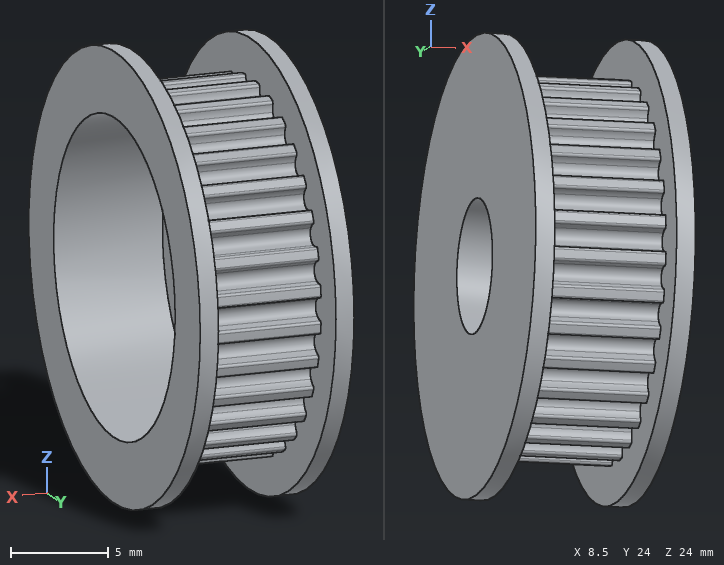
import cadquery as cq
import math

flange_diameter = 24.0
flange_thickness = 1.0
total_width = 8.5
bore_diameter = 7.0

bearing_seat_diameter = 17.0
bearing_seat_depth = 6.0

tooth_count = 32
tip_diameter = 19.87
rim_width = total_width - 2 * flange_thickness

mouth_half_width = 0.75
groove_depth = 0.77
tip_round_middle = (0.65, 0.038)
tip_round_end = (0.6, 0.13)
flank_middle = (0.55, 0.34)
flank_end = (0.45, 0.53)
mouth_overrun = 0.25

tip_radius = tip_diameter / 2
mouth_radius = math.sqrt(tip_radius**2 - mouth_half_width**2)


def disc(diameter, start, length):
    """Solid cylinder along X, beginning at X = start."""
    return cq.Workplane("YZ", origin=(start, 0, 0)).circle(diameter / 2).extrude(length)


def groove_cutter():
    """Cutter for the groove at the +Z side: tip rounds, bowed flanks and a round root."""

    def left(point):
        half_width, depth = point
        return (-half_width, mouth_radius - depth)

    def right(point):
        half_width, depth = point
        return (half_width, mouth_radius - depth)

    mouth = (mouth_half_width, 0)
    above_mouth = (mouth_half_width, -mouth_overrun)
    root = (0, groove_depth)
    return (
        cq.Workplane("YZ", origin=(flange_thickness, 0, 0))
        .moveTo(*left(above_mouth))
        .lineTo(*left(mouth))
        .threePointArc(left(tip_round_middle), left(tip_round_end))
        .threePointArc(left(flank_middle), left(flank_end))
        .threePointArc(right(root), right(flank_end))
        .threePointArc(right(flank_middle), right(tip_round_end))
        .threePointArc(right(tip_round_middle), right(mouth))
        .lineTo(*right(above_mouth))
        .close()
        .extrude(rim_width)
    )


def toothed_rim():
    """Rim between the flanges with evenly spaced belt grooves."""
    rim = disc(tip_diameter, flange_thickness, rim_width)
    cutter = groove_cutter()
    for index in range(tooth_count):
        angle = index * 360 / tooth_count
        rim = rim.cut(cutter.rotate((0, 0, 0), (1, 0, 0), angle))
    return rim


near_flange = disc(flange_diameter, 0, flange_thickness)
far_flange = disc(flange_diameter, total_width - flange_thickness, flange_thickness)
bore = disc(bore_diameter, 0, total_width)
bearing_seat = disc(bearing_seat_diameter, total_width - bearing_seat_depth, bearing_seat_depth)

result = toothed_rim().union(near_flange).union(far_flange).cut(bore).cut(bearing_seat)